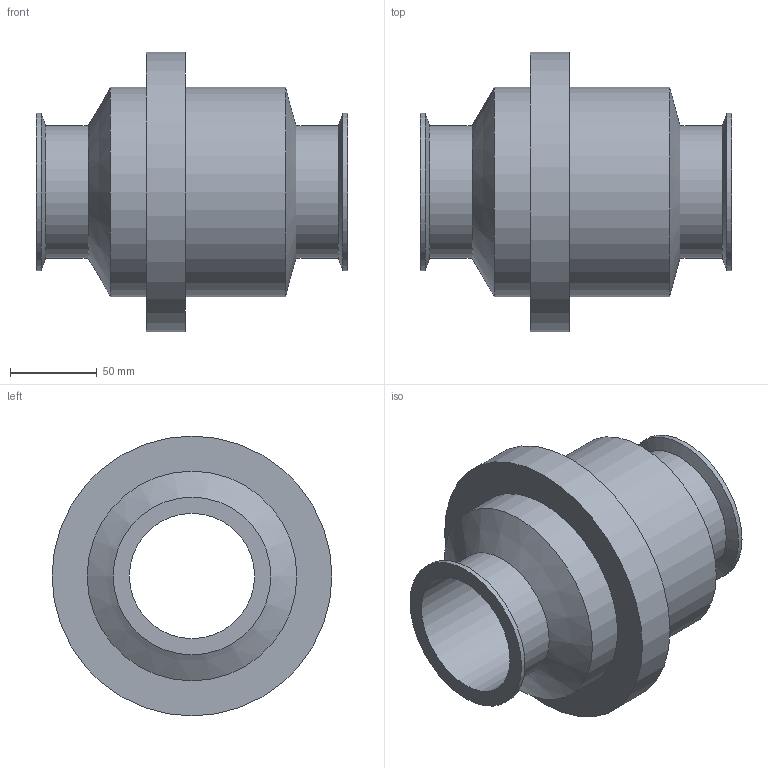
import cadquery as cq
import math

overall_length = 180.0
bore_diameter = 72.3
pipe_diameter = 76.3
ferrule_diameter = 91.0
body_diameter = 121.0
flange_diameter = 161.5

ferrule_rim_width = 2.85
ferrule_back_angle = 20.0

pipe_end_length = 30.0
inlet_cone_angle = 30.0
outlet_cone_angle = 15.0

flange_start = 63.5
flange_width = 22.5

bore_radius = bore_diameter / 2
pipe_radius = pipe_diameter / 2
ferrule_radius = ferrule_diameter / 2
body_radius = body_diameter / 2
flange_radius = flange_diameter / 2


def cone_length(large_radius, small_radius, angle):
    """Axial length of a cone whose side leans by angle from the end-face plane."""
    return (large_radius - small_radius) * math.tan(math.radians(angle))


ferrule_length = ferrule_rim_width + cone_length(ferrule_radius, pipe_radius, ferrule_back_angle)
body_start = pipe_end_length + cone_length(body_radius, pipe_radius, inlet_cone_angle)
outlet_pipe_start = overall_length - pipe_end_length
body_end = outlet_pipe_start - cone_length(body_radius, pipe_radius, outlet_cone_angle)


def make_housing():
    """Revolve the half section of the housing, with its through bore and end ferrules."""
    section = [
        (0, bore_radius),
        (0, ferrule_radius),
        (ferrule_rim_width, ferrule_radius),
        (ferrule_length, pipe_radius),
        (pipe_end_length, pipe_radius),
        (body_start, body_radius),
        (body_end, body_radius),
        (outlet_pipe_start, pipe_radius),
        (overall_length - ferrule_length, pipe_radius),
        (overall_length - ferrule_rim_width, ferrule_radius),
        (overall_length, ferrule_radius),
        (overall_length, bore_radius),
    ]
    return cq.Workplane("XY").polyline(section).close().revolve(360, (0, 0, 0), (1, 0, 0))


def make_flange():
    """Plain ring standing out from the body."""
    return (
        cq.Workplane("YZ", origin=(flange_start, 0, 0))
        .circle(flange_radius)
        .circle(bore_radius)
        .extrude(flange_width)
    )


result = make_housing().union(make_flange())